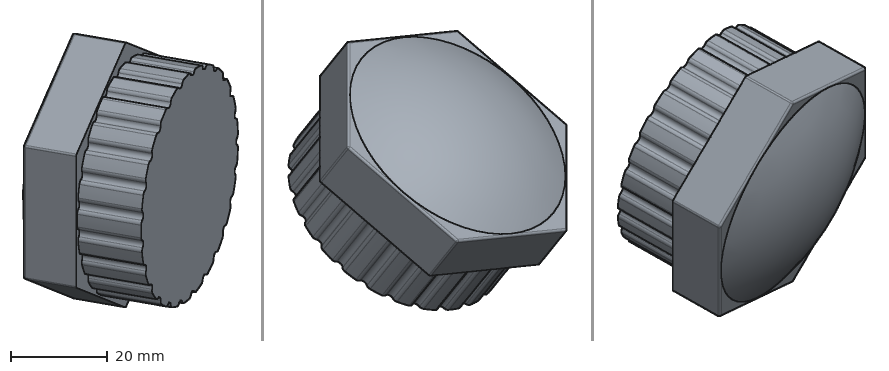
import cadquery as cq
import math

head_sides = 6
head_across_flats = 52.0
head_thickness = 12.0
head_edge_radius = 0.5

dome_height = 6.6
dome_diameter = head_across_flats - 2 * head_edge_radius

body_diameter = 51.0
body_length = 14.4
flute_count = 25
flute_radius = 1.0
flute_lip_radius = 1.0

body_radius = body_diameter / 2
dome_radius = dome_diameter / 2
dome_sphere_radius = (dome_radius**2 + dome_height**2) / (2 * dome_height)
head_across_corners = head_across_flats / math.cos(math.pi / head_sides)
flute_pitch = 2 * math.pi / flute_count
quarter_turn = 90

shoulder_x = head_thickness
dome_sphere_x = dome_sphere_radius - dome_height


def polar(radius, angle):
    """Point of the YZ plane, with the angle measured from -Y towards +Z."""
    return (-radius * math.cos(angle), radius * math.sin(angle))


def build_head():
    """Hexagonal prism with rounded corners and a rounded outer rim; the shoulder edge stays sharp."""
    head = (
        cq.Workplane("YZ")
        .transformed(rotate=(0, 0, quarter_turn))
        .polygon(head_sides, head_across_corners)
        .extrude(head_thickness)
    )
    head = head.edges("|X").fillet(head_edge_radius)
    return head.faces("<X").edges().fillet(head_edge_radius)


def build_dome():
    """Spherical cap, cut from a full sphere by the outer face of the head."""
    sphere = cq.Workplane("XY").sphere(dome_sphere_radius).translate((dome_sphere_x, 0, 0))
    outer_side = cq.Workplane("YZ").circle(head_across_flats).extrude(-dome_sphere_radius)
    return sphere.intersect(outer_side)


def build_body():
    """Round body whose flutes are centred on its surface and blend into it with rounded lips."""
    lip_centre_radius = body_radius - flute_lip_radius
    lip_to_flute = flute_radius + flute_lip_radius

    lip_angle = math.acos(
        (lip_centre_radius**2 + body_radius**2 - lip_to_flute**2) / (2 * lip_centre_radius * body_radius)
    )
    land_half_angle = flute_pitch / 2 - lip_angle

    flute_share = flute_radius / lip_to_flute
    lip_depth = lip_centre_radius * math.cos(lip_angle)
    lip_offset = lip_centre_radius * math.sin(lip_angle)
    blend_depth = body_radius + flute_share * (lip_depth - body_radius)
    blend_offset = flute_share * lip_offset
    blend_radius = math.hypot(blend_depth, blend_offset)
    blend_angle = math.atan2(blend_offset, blend_depth)

    flute_direction = math.atan2(-lip_offset, body_radius - lip_depth)
    lip_mid_direction = (lip_angle + flute_direction) / 2
    lip_mid_depth = lip_depth + flute_lip_radius * math.cos(lip_mid_direction)
    lip_mid_offset = lip_offset + flute_lip_radius * math.sin(lip_mid_direction)
    lip_mid_radius = math.hypot(lip_mid_depth, lip_mid_offset)
    lip_mid_angle = math.atan2(lip_mid_offset, lip_mid_depth)

    profile = cq.Workplane("YZ", origin=(shoulder_x, 0, 0)).moveTo(*polar(body_radius, -land_half_angle))
    for index in range(flute_count):
        land = index * flute_pitch
        flute = land + flute_pitch / 2
        next_land_start = land + flute_pitch - land_half_angle
        profile = (
            profile
            .threePointArc(polar(body_radius, land), polar(body_radius, land + land_half_angle))
            .threePointArc(polar(lip_mid_radius, flute - lip_mid_angle), polar(blend_radius, flute - blend_angle))
            .threePointArc(polar(body_radius - flute_radius, flute), polar(blend_radius, flute + blend_angle))
            .threePointArc(polar(lip_mid_radius, flute + lip_mid_angle), polar(body_radius, next_land_start))
        )
    return profile.close().extrude(body_length)


result = build_head().union(build_dome()).union(build_body())